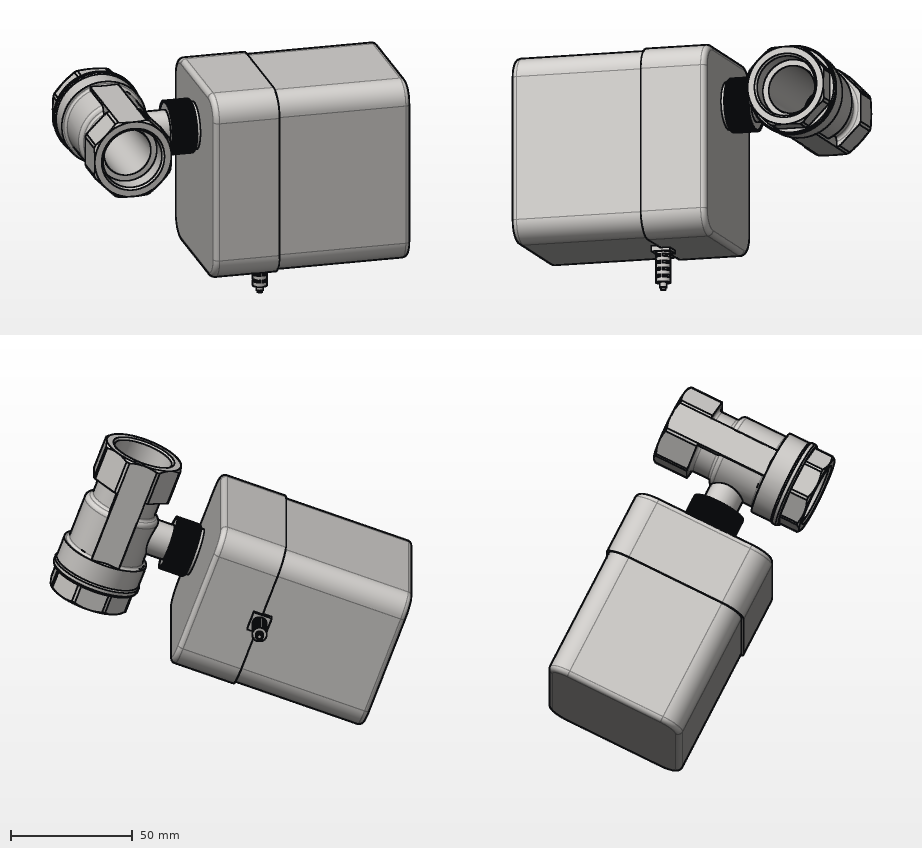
import cadquery as cq
import math


valve_length = 67.0
left_end = -valve_length / 2
right_end = valve_length / 2
rim_start = left_end + 8.8
rim_end = rim_start + 3.3
collar_end = left_end + 21.0
barrel_end = left_end + 40.0
shoulder_middle = left_end + 42.1
neck_start = left_end + 43.3
right_octagon_start = right_end - 15.3

flat_width = 12.0
octagon_sides = 8
octagon_across_flats = 32.6
octagon_corner_diameter = math.hypot(octagon_across_flats, flat_width)
octagon_end_chamfer = 1.0
rim_diameter = 37.0
collar_diameter = 36.0
rim_chamfer_length = 0.8
barrel_diameter = 32.2
shoulder_middle_diameter = 29.2
neck_diameter = 27.2
neck_fillet = 1.5
collar_fillet = 1.1
bore_diameter = 20.0
socket_diameter = 25.0
socket_mouth_diameter = 26.8
socket_depth = 9.0
stem_diameter = 15.0

nut_front = 23.0
nut_back = 33.5
base_front = 35.0
cover_front = 63.0
overall_length = 137.5
cover_back = overall_length - rim_diameter / 2

base_width = 63.0
base_height = 80.0
base_top = 21.5
base_bottom = base_top - base_height
base_corner_radius = 10.0
housing_middle_z = base_top - base_height / 2
cover_inset = 1.0
end_fillet = 2.2
spigot_diameter = 20.0
nut_diameter = 22.5
knurl_count = 120
knurl_depth = 0.7
nut_chamfer = 0.5

flange_side = 8.0
flange_drop = 1.2
flange_bottom = base_bottom - flange_drop
sleeve_diameter = 6.0
sleeve_bottom = -72.5
slot_core_diameter = 4.0
slot_height = 1.0
slot_web = 1.0
slot_count = 4
slot_pitch = 2.9
first_slot_drop = 1.5
first_slot_z = flange_bottom - first_slot_drop
cable_diameter = 3.0
cable_bottom = -74.5
wire_diameter = 2.0
wire_bottom = -75.5


def cylinder_y(diameter, start, end):
    """Solid cylinder on the stem axis between two Y stations."""
    return cq.Workplane("XZ", origin=(0, start, 0)).circle(diameter / 2).extrude(start - end)


def cylinder_down(diameter, top, bottom):
    """Solid vertical cylinder on the gland axis between two heights."""
    return cq.Workplane("XY", origin=(0, cover_front, bottom)).circle(diameter / 2).extrude(top - bottom)


def octagon_end(inner_x, outer_x):
    """Octagonal wrench end with turned-down corners and a chamfered outer rim."""
    direction = math.copysign(1, outer_x - inner_x)
    length = abs(outer_x - inner_x)
    corner_to_corner = octagon_across_flats / math.cos(math.pi / octagon_sides)
    prism = (
        cq.Workplane("YZ", origin=(inner_x, 0, 0))
        .transformed(rotate=(0, 0, 180 / octagon_sides))
        .polygon(octagon_sides, corner_to_corner)
        .extrude(direction * length)
    )
    chamfer_x = outer_x - direction * octagon_end_chamfer
    envelope = (
        cq.Workplane("XY")
        .moveTo(inner_x, 0)
        .lineTo(inner_x, octagon_corner_diameter / 2)
        .lineTo(chamfer_x, octagon_corner_diameter / 2)
        .lineTo(outer_x, octagon_across_flats / 2)
        .lineTo(outer_x, 0)
        .close()
        .revolve(360, (0, 0, 0), (1, 0, 0))
    )
    return prism.intersect(envelope)


def turned_middle():
    """Rim, collar, barrel and neck, turned about the flow axis."""
    rim_radius = rim_diameter / 2
    collar_radius = collar_diameter / 2
    barrel_radius = barrel_diameter / 2
    neck_radius = neck_diameter / 2
    return (
        cq.Workplane("XY")
        .moveTo(rim_start, 0)
        .lineTo(rim_start, collar_radius)
        .lineTo(rim_start + rim_chamfer_length, rim_radius)
        .lineTo(rim_end - rim_chamfer_length, rim_radius)
        .lineTo(rim_end, collar_radius)
        .lineTo(collar_end, collar_radius)
        .lineTo(collar_end, barrel_radius + collar_fillet)
        .tangentArcPoint((collar_end + collar_fillet, barrel_radius), relative=False)
        .lineTo(barrel_end, barrel_radius)
        .tangentArcPoint((shoulder_middle, shoulder_middle_diameter / 2), relative=False)
        .tangentArcPoint((neck_start, neck_radius), relative=False)
        .lineTo(right_octagon_start - neck_fillet, neck_radius)
        .tangentArcPoint((right_octagon_start, neck_radius + neck_fillet), relative=False)
        .lineTo(right_octagon_start, 0)
        .close()
        .revolve(360, (0, 0, 0), (1, 0, 0))
    )


def side_bars():
    """Flat bars above and below the barrel, flush with the octagon flats."""
    length = right_octagon_start - collar_end
    return (
        cq.Workplane("XY")
        .box(length, flat_width, octagon_across_flats, centered=(False, True, True))
        .translate((collar_end, 0, 0))
    )


def flow_passage():
    """Through bore with a chamfered pipe socket at each end."""
    mouth_chamfer = (socket_mouth_diameter - socket_diameter) / 2
    return (
        cq.Workplane("XY")
        .moveTo(left_end, 0)
        .lineTo(left_end, socket_mouth_diameter / 2)
        .lineTo(left_end + mouth_chamfer, socket_diameter / 2)
        .lineTo(left_end + socket_depth, socket_diameter / 2)
        .lineTo(left_end + socket_depth, bore_diameter / 2)
        .lineTo(right_end - socket_depth, bore_diameter / 2)
        .lineTo(right_end - socket_depth, socket_diameter / 2)
        .lineTo(right_end - mouth_chamfer, socket_diameter / 2)
        .lineTo(right_end, socket_mouth_diameter / 2)
        .lineTo(right_end, 0)
        .close()
        .revolve(360, (0, 0, 0), (1, 0, 0))
    )


def make_valve():
    """Valve body with its stem, bored through along the flow axis."""
    body = turned_middle()
    body = body.union(octagon_end(rim_start, left_end))
    body = body.union(octagon_end(right_octagon_start, right_end))
    body = body.union(side_bars())
    body = body.union(cylinder_y(stem_diameter, 0, nut_front))
    return body.cut(flow_passage()).clean()


def rounded_block(inset, front, back, rounded_end):
    """Block with rounded long edges, and a fillet around its front (<Y) or back (>Y) face."""
    return (
        cq.Workplane("XY")
        .box(base_width - 2 * inset, back - front, base_height - 2 * inset)
        .translate((0, (front + back) / 2, housing_middle_z))
        .edges("|Y")
        .fillet(base_corner_radius - inset)
        .faces(rounded_end)
        .edges()
        .fillet(end_fillet)
    )


def knurled_nut():
    """Coupling nut with V-shaped teeth, chamfered at its back."""
    crest_radius = nut_diameter / 2
    root_radius = crest_radius - knurl_depth
    half_pitch = math.pi / knurl_count
    outline = []
    for step in range(2 * knurl_count):
        radius = root_radius if step % 2 else crest_radius
        angle = step * half_pitch
        outline.append((radius * math.cos(angle), radius * math.sin(angle)))
    teeth = cq.Workplane("XZ", origin=(0, nut_front, 0)).polyline(outline).close().extrude(nut_front - nut_back)
    envelope = cylinder_y(nut_diameter, nut_front, nut_back).faces(">Y").chamfer(nut_chamfer)
    return teeth.intersect(envelope)


def slot_ring(height):
    """Ring groove around the gland sleeve, interrupted by four webs."""
    top = height + slot_height / 2
    bottom = height - slot_height / 2
    ring = cylinder_down(sleeve_diameter, top, bottom).cut(cylinder_down(slot_core_diameter, top, bottom))
    web_along_x = cq.Workplane("XY").box(sleeve_diameter, slot_web, slot_height)
    web_along_y = cq.Workplane("XY").box(slot_web, sleeve_diameter, slot_height)
    webs = web_along_x.union(web_along_y).translate((0, cover_front, height))
    return ring.cut(webs)


def cable_gland():
    """Square flange, slotted strain-relief sleeve, cable and wire end."""
    flange = (
        cq.Workplane("XY")
        .box(flange_side, flange_side, base_bottom + end_fillet - flange_bottom, centered=(True, True, False))
        .translate((0, cover_front, flange_bottom))
    )
    sleeve = cylinder_down(sleeve_diameter, flange_bottom, sleeve_bottom)
    for index in range(slot_count):
        sleeve = sleeve.cut(slot_ring(first_slot_z - index * slot_pitch))
    cable = cylinder_down(cable_diameter, sleeve_bottom, cable_bottom)
    wire = cylinder_down(wire_diameter, cable_bottom, wire_bottom)
    return flange.union(sleeve).union(cable).union(wire)


def make_actuator():
    """Housing base and cover with the spigot, the coupling nut and the cable gland."""
    base = rounded_block(0, base_front, cover_front, "<Y")
    cover = rounded_block(cover_inset, cover_front, cover_back, ">Y")
    spigot = cylinder_y(spigot_diameter, nut_back, base_front)
    return base.union(cover).union(spigot).union(knurled_nut()).union(cable_gland())


valve = make_valve()
actuator = make_actuator()
result = cq.Compound.makeCompound([valve.solids().val(), actuator.solids().val()])